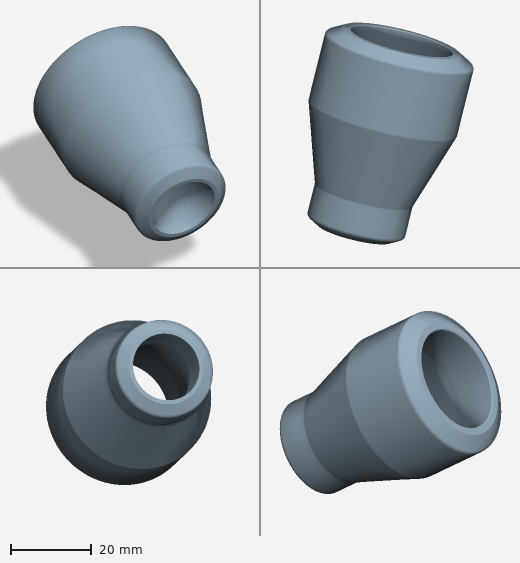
import cadquery as cq
import math

length = 50.0
large_radius = 19.0
small_radius = 12.5
large_bore_radius = 13.0
bore_mouth_chamfer = 0.25
small_bore_radius = 8.5
large_face_radius = 15.0
small_face_radius = 9.5
taper_start = 20.0
taper_end = 40.0
bore_taper_start = 12.0
bevel_angle = 30.0
bevel_blend = 1.0
taper_blend = 1.0


def bevel_run(outer_radius, face_radius):
    """Axial length of a weld bevel."""
    return (outer_radius - face_radius) * math.tan(math.radians(bevel_angle))


def revolve_profile(points):
    """Turn a closed (x, radius) outline about the X axis."""
    return cq.Workplane("XY").polyline(points).close().revolve(360, (0, 0, 0), (1, 0, 0))


def round_rim(body, x, radius, blend):
    """Fillet the circular edge at the given station and radius."""
    tolerance = 0.025
    low = (x - tolerance, -radius - tolerance, -radius - tolerance)
    high = (x + tolerance, radius + tolerance, radius + tolerance)
    return body.edges(cq.selectors.BoxSelector(low, high, boundingbox=True)).fillet(blend)


large_bevel_end = bevel_run(large_radius, large_face_radius)
small_bevel_start = length - bevel_run(small_radius, small_face_radius)

outside = revolve_profile([
    (0, 0),
    (0, large_face_radius),
    (large_bevel_end, large_radius),
    (taper_start, large_radius),
    (taper_end, small_radius),
    (small_bevel_start, small_radius),
    (length, small_face_radius),
    (length, 0),
])
outside = round_rim(outside, large_bevel_end, large_radius, bevel_blend)
outside = round_rim(outside, taper_start, large_radius, taper_blend)
outside = round_rim(outside, taper_end, small_radius, taper_blend)
outside = round_rim(outside, small_bevel_start, small_radius, bevel_blend)

bore = revolve_profile([
    (0, 0),
    (0, large_bore_radius + bore_mouth_chamfer),
    (bore_mouth_chamfer, large_bore_radius),
    (bore_taper_start, large_bore_radius),
    (taper_end, small_bore_radius),
    (length, small_bore_radius),
    (length, 0),
])

result = outside.cut(bore)